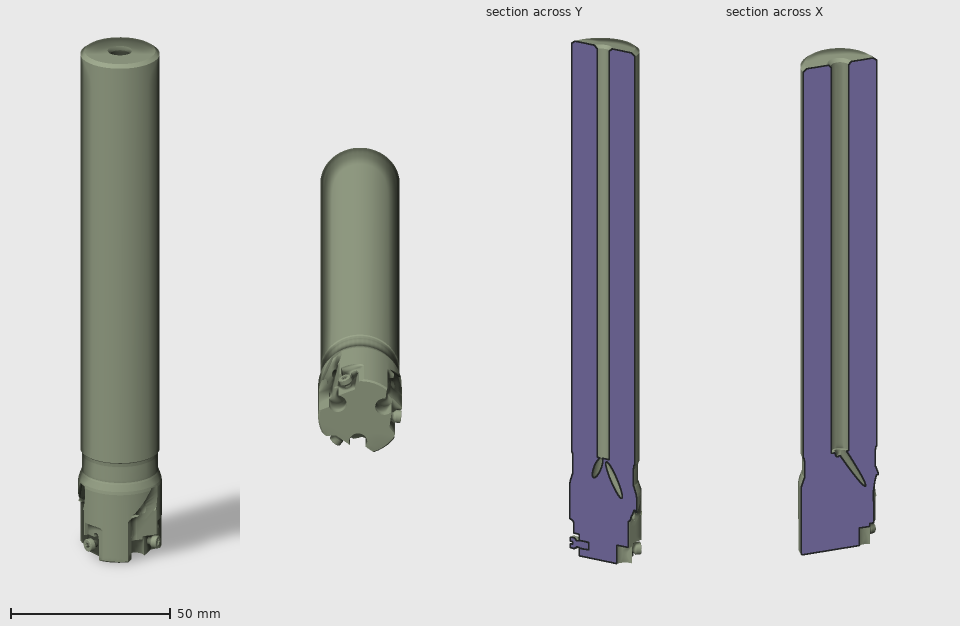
import cadquery as cq

LENGTH = 168.8
SHANK_RADIUS = 12.5
NECK_RADIUS = 12.0
HEAD_RADIUS = 13.2
TOP_CHAMFER_WIDTH = 1.4
TOP_CHAMFER_HEIGHT = 1.0

NECK_TOP = 33.8
NECK_TOP_CHAMFER = 0.3
NECK_TOP_BLEND = 1.5
NECK_BOTTOM = 26.8
NECK_BOTTOM_BLEND = 0.5
CONE_FOOT = 24.1
CONE_FOOT_RADIUS = 13.0
HEAD_TOP = 23.1
HEAD_BOTTOM_CHAMFER = 0.5

BORE_RADIUS = 2.9
BORE_MOUTH_RADIUS = 3.9
BORE_BOTTOM = 33.8
COOLANT_RADIUS = 1.2
COOLANT_EXIT = (10.5, -5.0, 15.4)

STATION_COUNT = 3
FIRST_STATION_ANGLE = 288.0
OUTSIDE = 16.9
BELOW = -1.7

FLUTE_LEFT = -11.0
FLUTE_BED = 7.1
FLUTE_BED_RIGHT = -7.6
FLUTE_BED_TOP = 15.4
FLUTE_END_FILLET = 2.5
TOOTH_FOOT = (8.3, -5.9)
TOOTH_EDGE = (13.3, -1.4)
RUNOUT_BOTTOM = 7.1
RUNOUT_TOP = 23.6
RUNOUT_WALL_TOP = -0.5
RUNOUT_LEFT_TOP = -4.2
RUNOUT_LEFT_FOOT = -10.5
RUNOUT_LEVEL = 16.5
RUNOUT_FLOOR = [(8.5, -11.5), (9.5, -5.0), (13.0, -1.7)]
RUNOUT_SLOPE = (0.45, 0.47)

SEAT_DEPTH = 9.6
SEAT_LEFT = -3.4
SEAT_FLOOR_RIGHT = 2.2
SEAT_WALL = 4.4
SEAT_TOP = 7.1
GULLET_TOP = 6.0
RELIEF_RADIUS = 1.2
RELIEF_CENTRE = (2.9, 7.6)
CLEARANCE_DEPTH = 11.6
CLEARANCE_LEFT = -1.0
CLEARANCE_RIGHT = 7.6
CLEARANCE_TOP = 11.5
CLEARANCE_FILLET = 1.2

SCREW_HEIGHT = 3.9
SCREW_END = 13.0
SCREW_HEAD_RADIUS = 2.0
SCREW_HEAD_LENGTH = 1.7
SCREW_CONE_LENGTH = 0.8
SCREW_STEM_RADIUS = 1.2
SCREW_TIP = 5.9
SCREW_HEAD_CHAMFER = 0.2
SOCKET_RADIUS = 0.8
SOCKET_LOBES = 6
SOCKET_LOBE_RADIUS = 0.3
SOCKET_DEPTH = 1.0


def at_station(shape, index):
    """Turn a shape designed facing +X to the place of one cutting station."""
    angle = FIRST_STATION_ANGLE + index * 360.0 / STATION_COUNT
    return shape.rotate((0, 0, 0), (0, 0, 1), angle)


def upright_prism(outline, bottom, top):
    """Prism with an (X, Y) outline."""
    return cq.Workplane("XY").workplane(offset=bottom).polyline(outline).close().extrude(top - bottom)


def hollow_ended_slot(floor, top, fillet, left, right):
    """Cutter down to a flat floor, with a roof that curves out of the floor in a fillet."""
    return (
        cq.Workplane("XZ", origin=(0, left, 0))
        .moveTo(floor, BELOW)
        .lineTo(floor, top - fillet)
        .tangentArcPoint((floor + fillet, top), relative=False)
        .lineTo(OUTSIDE, top)
        .lineTo(OUTSIDE, BELOW)
        .close()
        .extrude(left - right)
    )


def turned_blank():
    """Shank, neck and head as one turned profile, with the seam of the round faces at -X."""
    blank = (
        cq.Workplane("XZ")
        .moveTo(0, 0)
        .lineTo(HEAD_RADIUS - HEAD_BOTTOM_CHAMFER, 0)
        .lineTo(HEAD_RADIUS, HEAD_BOTTOM_CHAMFER)
        .lineTo(HEAD_RADIUS, HEAD_TOP)
        .lineTo(CONE_FOOT_RADIUS, CONE_FOOT)
        .lineTo(NECK_RADIUS + NECK_BOTTOM_BLEND / 2, NECK_BOTTOM - NECK_BOTTOM_BLEND)
        .lineTo(NECK_RADIUS, NECK_BOTTOM)
        .lineTo(NECK_RADIUS, NECK_TOP - NECK_TOP_BLEND)
        .lineTo(SHANK_RADIUS - NECK_TOP_CHAMFER, NECK_TOP - NECK_TOP_CHAMFER)
        .lineTo(SHANK_RADIUS, NECK_TOP)
        .lineTo(SHANK_RADIUS, LENGTH - TOP_CHAMFER_HEIGHT)
        .lineTo(SHANK_RADIUS - TOP_CHAMFER_WIDTH, LENGTH)
        .lineTo(0, LENGTH)
        .close()
        .revolve(360, (0, 0, 0), (0, 1, 0))
    )
    return blank.rotate((0, 0, 0), (0, 0, 1), 180)


def coolant_bore():
    """Axial bore from the shank end with a countersunk mouth."""
    mouth_depth = BORE_MOUTH_RADIUS - BORE_RADIUS
    return (
        cq.Workplane("XZ")
        .moveTo(0, BORE_BOTTOM)
        .lineTo(BORE_RADIUS, BORE_BOTTOM)
        .lineTo(BORE_RADIUS, LENGTH - mouth_depth)
        .lineTo(BORE_MOUTH_RADIUS, LENGTH)
        .lineTo(0, LENGTH)
        .close()
        .revolve(360, (0, 0, 0), (0, 1, 0))
    )


def coolant_branch():
    """Slanted hole from the foot of the bore to the flute."""
    start = cq.Vector(0, 0, BORE_BOTTOM + COOLANT_RADIUS)
    run = cq.Vector(*COOLANT_EXIT) - start
    return cq.Workplane(obj=cq.Solid.makeCylinder(COOLANT_RADIUS, run.Length, start, run))


def flute_bed():
    """Flat bed of the flute, curving up into the slope of the tooth."""
    bed = (
        cq.Workplane("XY", origin=(0, 0, BELOW))
        .moveTo(OUTSIDE, FLUTE_LEFT)
        .lineTo(FLUTE_BED, FLUTE_LEFT)
        .lineTo(FLUTE_BED, FLUTE_BED_RIGHT)
        .tangentArcPoint(TOOTH_FOOT, relative=False)
        .lineTo(*TOOTH_EDGE)
        .lineTo(OUTSIDE, TOOTH_EDGE[1])
        .close()
        .extrude(FLUTE_BED_TOP - BELOW)
    )
    end = hollow_ended_slot(FLUTE_BED, FLUTE_BED_TOP, FLUTE_END_FILLET, -OUTSIDE, OUTSIDE)
    return bed.intersect(end)


def flute_runout():
    """Hollow upper part of the flute that climbs outward until it leaves the head."""
    drop = RUNOUT_BOTTOM - RUNOUT_LEVEL
    height = RUNOUT_TOP - RUNOUT_BOTTOM
    left, middle, right = [
        (x + drop * RUNOUT_SLOPE[0], y + drop * RUNOUT_SLOPE[1]) for x, y in RUNOUT_FLOOR
    ]
    section = (
        cq.Workplane("XY", origin=(0, 0, RUNOUT_BOTTOM))
        .moveTo(*left)
        .threePointArc(middle, right)
        .lineTo(2 * OUTSIDE, right[1])
        .lineTo(2 * OUTSIDE, left[1])
        .close()
    )
    climb = cq.Vector(height * RUNOUT_SLOPE[0], height * RUNOUT_SLOPE[1], height)
    channel = cq.Solid.extrudeLinear(section.val(), [], climb)
    limits = [
        (RUNOUT_LEFT_TOP, RUNOUT_TOP),
        (RUNOUT_LEFT_FOOT, FLUTE_BED_TOP),
        (FLUTE_BED_RIGHT, FLUTE_BED_TOP),
        (FLUTE_BED_RIGHT, RUNOUT_BOTTOM),
        (TOOTH_EDGE[1], RUNOUT_BOTTOM),
        (TOOTH_EDGE[1], RUNOUT_LEVEL),
        (RUNOUT_WALL_TOP, RUNOUT_TOP),
    ]
    column = cq.Workplane("YZ").polyline(limits).close().extrude(OUTSIDE)
    return column.intersect(cq.Workplane(obj=channel))


def seat():
    """Flat insert seat, open at the bottom, with a slanted rear wall and a corner relief."""
    outline = [
        (OUTSIDE, FLUTE_BED_RIGHT),
        (SEAT_DEPTH, FLUTE_BED_RIGHT),
        (SEAT_DEPTH, SEAT_FLOOR_RIGHT),
        (CLEARANCE_DEPTH, SEAT_WALL),
        (OUTSIDE, SEAT_WALL),
    ]
    relief = (
        cq.Workplane("YZ")
        .workplane(offset=SEAT_DEPTH)
        .center(*RELIEF_CENTRE)
        .circle(RELIEF_RADIUS)
        .extrude(OUTSIDE - SEAT_DEPTH)
    )
    return upright_prism(outline, BELOW, SEAT_TOP).union(relief)


def gullet():
    """Deeper hollow chip space beside the seat."""
    return (
        cq.Workplane("XY", origin=(0, 0, BELOW))
        .moveTo(OUTSIDE, FLUTE_BED_RIGHT)
        .lineTo(FLUTE_BED, FLUTE_BED_RIGHT)
        .tangentArcPoint((SEAT_DEPTH, SEAT_LEFT), relative=False)
        .lineTo(OUTSIDE, SEAT_LEFT)
        .close()
        .extrude(GULLET_TOP - BELOW)
    )


def clearance():
    """Shallow flat around the seat."""
    return hollow_ended_slot(
        CLEARANCE_DEPTH, CLEARANCE_TOP, CLEARANCE_FILLET, CLEARANCE_LEFT, CLEARANCE_RIGHT
    )


def screw_shape(socket):
    """Radial countersunk screw; without its socket it is also the cutter of its hole."""
    cone_start = SCREW_END - SCREW_HEAD_LENGTH
    cone_end = cone_start - SCREW_CONE_LENGTH
    screw = (
        cq.Workplane("XY")
        .moveTo(SCREW_TIP, 0)
        .lineTo(SCREW_TIP, SCREW_STEM_RADIUS)
        .lineTo(cone_end, SCREW_STEM_RADIUS)
        .lineTo(cone_start, SCREW_HEAD_RADIUS)
        .lineTo(SCREW_END - SCREW_HEAD_CHAMFER, SCREW_HEAD_RADIUS)
        .lineTo(SCREW_END, SCREW_HEAD_RADIUS - SCREW_HEAD_CHAMFER)
        .lineTo(SCREW_END, 0)
        .close()
        .revolve(360, (0, 0, 0), (1, 0, 0))
    )
    if socket:
        screw = screw.faces(">X").workplane().circle(SOCKET_RADIUS).cutBlind(-SOCKET_DEPTH)
        lobes = (
            cq.Workplane("YZ", origin=(SCREW_END - SOCKET_DEPTH, 0, 0))
            .polarArray(SOCKET_RADIUS, 0, 360, SOCKET_LOBES)
            .circle(SOCKET_LOBE_RADIUS)
            .extrude(SOCKET_DEPTH)
        )
        screw = screw.cut(lobes)
    return screw.translate((0, 0, SCREW_HEIGHT))


def cutter_body():
    body = turned_blank().cut(coolant_bore())
    station_cuts = [
        flute_bed(),
        flute_runout(),
        gullet(),
        seat(),
        clearance(),
        coolant_branch(),
        screw_shape(socket=False),
    ]
    for index in range(STATION_COUNT):
        for cut in station_cuts:
            body = body.cut(at_station(cut, index))
    return body


body = cutter_body()
screws = [at_station(screw_shape(socket=True), index) for index in range(STATION_COUNT)]

result = cq.Compound.makeCompound([body.val(), *[screw.val() for screw in screws]])